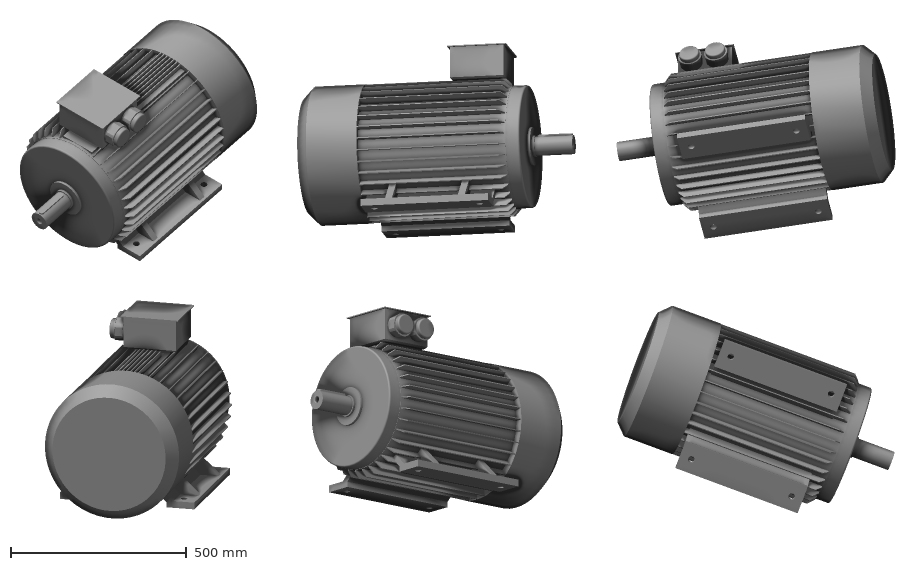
import cadquery as cq
import math


shaft_diameter = 55
shaft_length = 110
centre_hole_diameter = 17.29
centre_hole_depth = 40
centre_hole_chamfer = 1.5
drill_point_angle = 120
key_width = 16
key_length = 102
key_top = 31.5
key_start = 5
seal_diameter = 62
seal_length = 7
boss_diameter = 110
boss_length = 7.5
shield_diameter = 350
shield_length = 40
shield_edge_radius = 5

housing_diameter = 352
cowl_diameter = 397
cowl_radius = cowl_diameter / 2
cowl_chamfer = 31
cowl_length = 177.5
overall_length = 770
fin_inset = 1
fin_radius = cowl_radius - fin_inset
fin_thickness = 3
fin_step = 10
fin_slope_height = 16
fin_slope_length = 15
fin_setback = 3.5
fin_root_depth = 4
omitted_fins = (80, 90, 100)

pad_width = 105
pad_top = 177
pad_front_y = 63
top_fin_pitch = 11.9
top_fin_thickness = 3
top_fins_per_side = 3
top_fin_front_y = 243
top_fin_chamfer = 8

box_size = 156
box_base_z = 189
box_bottom_chamfer = 5
box_centre_y = 156.5
lid_size = 170
lid_thickness = 3
lid_top_z = 286

gland_spacing = 75
gland_z = 235
gland_collar_diameter = 62
gland_collar_length = 5
gland_hex_across_flats = 62
gland_hex_length = 24.5
gland_body_diameter = 67
gland_flange_length = 2.5
gland_cap_diameter = 57.49
gland_cap_length = 14
gland_cap_radius = 4

shaft_height = 200
foot_length = 371
foot_centre_y = 285.5
foot_thickness = 20
foot_outer_x = cowl_radius
foot_inner_x = 116.5
foot_inner_height = 15.5
foot_slope = 42
foot_wall_x = 137
rib_x = 191
rib_thickness = 20
rib_spacing = 211
bolt_hole_diameter = 19
bolt_spacing_x = 318
bolt_spacing_y = 305

boss_front_y = seal_length
shield_front_y = boss_front_y + boss_length
shield_back_y = shield_front_y + shield_length
fin_front_y = shield_back_y + fin_setback
back_y = overall_length - shaft_length
cowl_front_y = back_y - cowl_length
housing_radius = housing_diameter / 2


def block(x_range, y_range, z_range):
    """Axis-aligned box between the given limits."""
    sizes = [high - low for low, high in (x_range, y_range, z_range)]
    corner = (x_range[0], y_range[0], z_range[0])
    return cq.Workplane("XY").box(*sizes, centered=False).translate(corner)


def make_body():
    """Revolved shaft, seal, boss, end shield, housing and fan cowl."""
    shield_radius = shield_diameter / 2
    arc_mid = shield_edge_radius * (1 - math.sqrt(0.5))
    return (
        cq.Workplane("XY")
        .moveTo(0, -shaft_length)
        .lineTo(shaft_diameter / 2, -shaft_length)
        .lineTo(shaft_diameter / 2, 0)
        .lineTo(seal_diameter / 2, 0)
        .lineTo(seal_diameter / 2, boss_front_y)
        .lineTo(boss_diameter / 2, boss_front_y)
        .lineTo(boss_diameter / 2, shield_front_y)
        .lineTo(shield_radius - shield_edge_radius, shield_front_y)
        .threePointArc(
            (shield_radius - arc_mid, shield_front_y + arc_mid),
            (shield_radius, shield_front_y + shield_edge_radius),
        )
        .lineTo(shield_radius, shield_back_y)
        .lineTo(housing_radius, shield_back_y)
        .lineTo(housing_radius, cowl_front_y)
        .lineTo(cowl_radius, cowl_front_y)
        .lineTo(cowl_radius, back_y - cowl_chamfer)
        .lineTo(cowl_radius - cowl_chamfer, back_y)
        .lineTo(0, back_y)
        .close()
        .revolve(360, (0, 0, 0), (0, 1, 0))
    )


def make_centre_hole():
    """Blind hole with a chamfered mouth and a drill point in the shaft end."""
    radius = centre_hole_diameter / 2
    mouth_radius = radius + centre_hole_chamfer
    bottom_y = centre_hole_depth - shaft_length
    point_depth = radius / math.tan(math.radians(drill_point_angle / 2))
    return (
        cq.Workplane("XY")
        .moveTo(0, -shaft_length)
        .lineTo(mouth_radius, -shaft_length)
        .lineTo(radius, centre_hole_chamfer - shaft_length)
        .lineTo(radius, bottom_y)
        .lineTo(0, bottom_y + point_depth)
        .close()
        .revolve(360, (0, 0, 0), (0, 1, 0))
    )


def make_key():
    """Round-ended key standing out of the top of the shaft."""
    return (
        cq.Workplane("XY")
        .center(0, -key_start - key_length / 2)
        .slot2D(key_length, key_width, 90)
        .extrude(key_top)
    )


def make_fin(angle):
    """Radial cooling fin with a sloped front end, at an angle from +X about the axis."""
    root_radius = housing_radius - fin_root_depth
    return (
        cq.Workplane("XY")
        .moveTo(root_radius, fin_front_y)
        .lineTo(fin_radius - fin_slope_height, fin_front_y)
        .lineTo(fin_radius, fin_front_y + fin_slope_length)
        .lineTo(fin_radius, cowl_front_y)
        .lineTo(root_radius, cowl_front_y)
        .close()
        .extrude(fin_thickness / 2, both=True)
        .rotate((0, 0, 0), (0, 1, 0), -angle)
    )


def make_top_fin(offset):
    """Upright fin on the pad, reaching up to the fin circle at its x offset."""
    top_z = math.sqrt(fin_radius**2 - offset**2)
    return (
        cq.Workplane("YZ")
        .moveTo(top_fin_front_y, housing_radius - fin_root_depth)
        .lineTo(top_fin_front_y, top_z - top_fin_chamfer)
        .lineTo(top_fin_front_y + top_fin_chamfer, top_z)
        .lineTo(cowl_front_y, top_z)
        .lineTo(cowl_front_y, housing_radius - fin_root_depth)
        .close()
        .extrude(top_fin_thickness / 2, both=True)
        .translate((offset, 0, 0))
    )


def make_pad():
    """Flat pad along the top of the housing and the neck under the terminal box."""
    half = pad_width / 2
    pad = block((-half, half), (pad_front_y, cowl_front_y), (0, pad_top))
    neck_y = (box_centre_y - half, box_centre_y + half)
    neck = block((-half, half), neck_y, (0, box_base_z))
    return pad.union(neck)


def make_terminal_box():
    """Terminal box with a chamfered bottom edge and an overhanging lid."""
    lid_base_z = lid_top_z - lid_thickness
    box = (
        cq.Workplane("XY", origin=(0, box_centre_y, box_base_z))
        .rect(box_size, box_size)
        .extrude(lid_base_z - box_base_z)
        .faces("<Z")
        .chamfer(box_bottom_chamfer)
    )
    lid = (
        cq.Workplane("XY", origin=(0, box_centre_y, lid_base_z))
        .rect(lid_size, lid_size)
        .extrude(lid_thickness)
    )
    return box.union(lid)


def make_gland(y):
    """Cable gland: collar, corner-turned hexagon, flange and rounded cap."""
    start = cq.Workplane("YZ", origin=(box_size / 2, y, gland_z))
    hex_start = gland_collar_length
    flange_start = hex_start + gland_hex_length
    cap_start = flange_start + gland_flange_length
    collar = start.circle(gland_collar_diameter / 2).extrude(gland_collar_length)
    corner_diameter = gland_hex_across_flats / math.cos(math.radians(30))
    hexagon = (
        start.workplane(offset=hex_start)
        .transformed(rotate=(0, 0, 90))
        .polygon(6, corner_diameter)
        .extrude(gland_hex_length)
    )
    turned = start.workplane(offset=hex_start).circle(gland_body_diameter / 2).extrude(gland_hex_length)
    flange = start.workplane(offset=flange_start).circle(gland_body_diameter / 2).extrude(gland_flange_length)
    cap = (
        start.workplane(offset=cap_start)
        .circle(gland_cap_diameter / 2)
        .extrude(gland_cap_length)
        .faces(">X")
        .edges()
        .fillet(gland_cap_radius)
    )
    return collar.union(hexagon.intersect(turned)).union(flange).union(cap)


def make_foot():
    """Foot on the +X side: base plate, sloping wall, two ribs and two bolt holes."""
    base_z = -shaft_height
    plate_top_z = base_z + foot_thickness
    inner_z = base_z + foot_inner_height
    rise = math.tan(math.radians(foot_slope))
    wall_end_x = 70
    rib_end_x = 110
    wall_top_z = plate_top_z + (foot_wall_x - wall_end_x) * rise
    wall_bottom_z = inner_z + (foot_inner_x - wall_end_x) * rise
    rib_top_z = plate_top_z + (rib_x - rib_end_x) * rise

    wall_profile = [
        (foot_inner_x, base_z),
        (foot_outer_x, base_z),
        (foot_outer_x, plate_top_z),
        (foot_wall_x, plate_top_z),
        (wall_end_x, wall_top_z),
        (wall_end_x, wall_bottom_z),
        (foot_inner_x, inner_z),
    ]
    rib_profile = [
        (foot_wall_x, plate_top_z),
        (rib_x, plate_top_z),
        (rib_end_x, rib_top_z),
        (wall_end_x, wall_top_z),
    ]
    middle = cq.Workplane("XZ", origin=(0, foot_centre_y, 0))
    foot = middle.polyline(wall_profile).close().extrude(foot_length / 2, both=True)
    rib = middle.polyline(rib_profile).close().extrude(rib_thickness / 2, both=True)
    bolt_hole = (
        cq.Workplane("XY", origin=(bolt_spacing_x / 2, foot_centre_y, base_z))
        .circle(bolt_hole_diameter / 2)
        .extrude(foot_thickness)
    )
    for side in (-1, 1):
        foot = foot.union(rib.translate((0, side * rib_spacing / 2, 0)))
        foot = foot.cut(bolt_hole.translate((0, side * bolt_spacing_y / 2, 0)))
    return foot


motor = make_body().union(make_key()).cut(make_centre_hole())

for fin_angle in range(0, 360, fin_step):
    if fin_angle not in omitted_fins:
        motor = motor.union(make_fin(fin_angle))

motor = motor.union(make_pad())
for index in range(-top_fins_per_side, top_fins_per_side + 1):
    motor = motor.union(make_top_fin(index * top_fin_pitch))

motor = motor.union(make_terminal_box())
for side in (-1, 1):
    motor = motor.union(make_gland(box_centre_y + side * gland_spacing / 2))

right_foot = make_foot()
motor = motor.union(right_foot).union(right_foot.mirror("YZ"))

result = motor